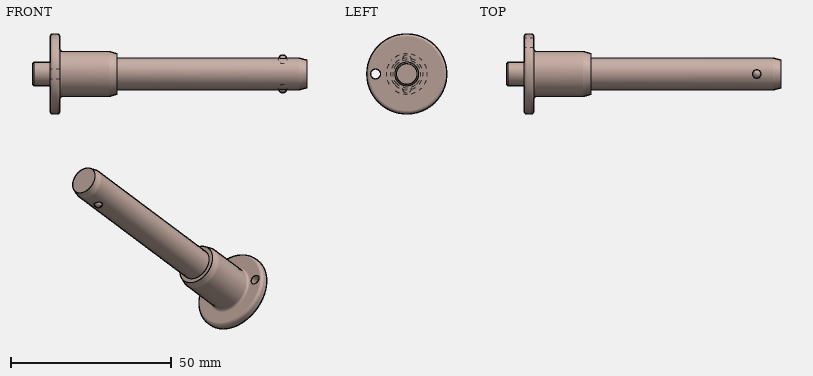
import cadquery as cq


overall_length = 85.5

button_diameter = 7.4
button_projection = 5.5
button_chamfer = 0.5

flange_diameter = 25.0
flange_thickness = 3.1
flange_rim_fillet = 1.0

collar_diameter = 14.1
collar_end_diameter = 12.7
collar_taper_start = 18.5
collar_end = 20.9
collar_root_fillet = 0.75

shank_diameter = 10.0
tip_diameter = 8.7
tip_taper_length = 2.5

lanyard_hole_diameter = 3.0
lanyard_hole_offset = 9.7

ball_diameter = 2.7
ball_protrusion = 0.92
ball_distance_from_tip = 7.6

shank_tip = overall_length - button_projection
ball_x = shank_tip - ball_distance_from_tip
ball_offset = shank_diameter / 2 + ball_protrusion - ball_diameter / 2


def cylinder_along_x(start, end, diameter):
    return cq.Workplane("YZ", origin=(start, 0, 0)).circle(diameter / 2).extrude(end - start)


def make_locking_ball(side):
    """Sphere seated in the shank wall; side is +1 for the upper ball and -1 for the lower one."""
    return cq.Workplane("XY").sphere(ball_diameter / 2).translate((ball_x, 0, side * ball_offset))


def make_button():
    button = cylinder_along_x(-button_projection, 0, button_diameter)
    return button.faces("<X").chamfer(button_chamfer)


def make_flange():
    flange = cylinder_along_x(0, flange_thickness, flange_diameter)
    return flange.edges().fillet(flange_rim_fillet)


def make_collar():
    """Collar with a concave fillet at the flange and a tapered nose."""
    radius = collar_diameter / 2
    root_end = flange_thickness + collar_root_fillet
    profile = (
        cq.Workplane("XY")
        .moveTo(flange_thickness, 0)
        .lineTo(flange_thickness, radius + collar_root_fillet)
        .radiusArc((root_end, radius), -collar_root_fillet)
        .lineTo(collar_taper_start, radius)
        .lineTo(collar_end, collar_end_diameter / 2)
        .lineTo(collar_end, 0)
        .close()
    )
    return profile.revolve(360, (0, 0, 0), (1, 0, 0))


def make_shank():
    shank = cylinder_along_x(collar_end, shank_tip, shank_diameter)
    tip_inset = (shank_diameter - tip_diameter) / 2
    return shank.faces(">X").chamfer(tip_taper_length, tip_inset)


def make_pin_body(balls):
    """Button, flange, collar and shank in one piece, with seats for the locking balls."""
    body = make_flange().union(make_button()).union(make_collar()).union(make_shank())
    lanyard_hole = cylinder_along_x(0, flange_thickness, lanyard_hole_diameter)
    body = body.cut(lanyard_hole.translate((0, lanyard_hole_offset, 0)))
    for ball in balls:
        body = body.cut(ball)
    return body.solids()


locking_balls = [make_locking_ball(side) for side in (1, -1)]
pin_body = make_pin_body(locking_balls)

result = cq.Compound.makeCompound([pin_body.val(), *[ball.val() for ball in locking_balls]])